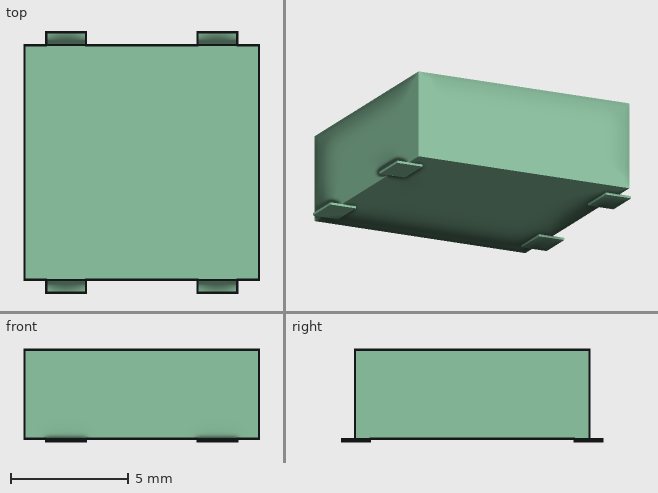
import cadquery as cq

body_side = 10.0
body_height = 3.8

terminal_width = 1.7
terminal_length = 1.2
terminal_thickness = 0.1
terminal_pitch = 6.43
terminal_span = 11.1

terminal_x = terminal_pitch / 2
terminal_y = (terminal_span - terminal_length) / 2


def make_body():
    """Square block resting on top of the terminals."""
    return (
        cq.Workplane("XY")
        .workplane(offset=terminal_thickness)
        .rect(body_side, body_side)
        .extrude(body_height)
    )


def make_terminal(x, y):
    """Flat terminal centred at (x, y), with its underside at Z = 0."""
    return (
        cq.Workplane("XY")
        .center(x, y)
        .rect(terminal_width, terminal_length)
        .extrude(terminal_thickness)
    )


body = make_body()
terminals = [
    make_terminal(x, y)
    for x in (-terminal_x, terminal_x)
    for y in (-terminal_y, terminal_y)
]

result = cq.Compound.makeCompound([body.val(), *[terminal.val() for terminal in terminals]])